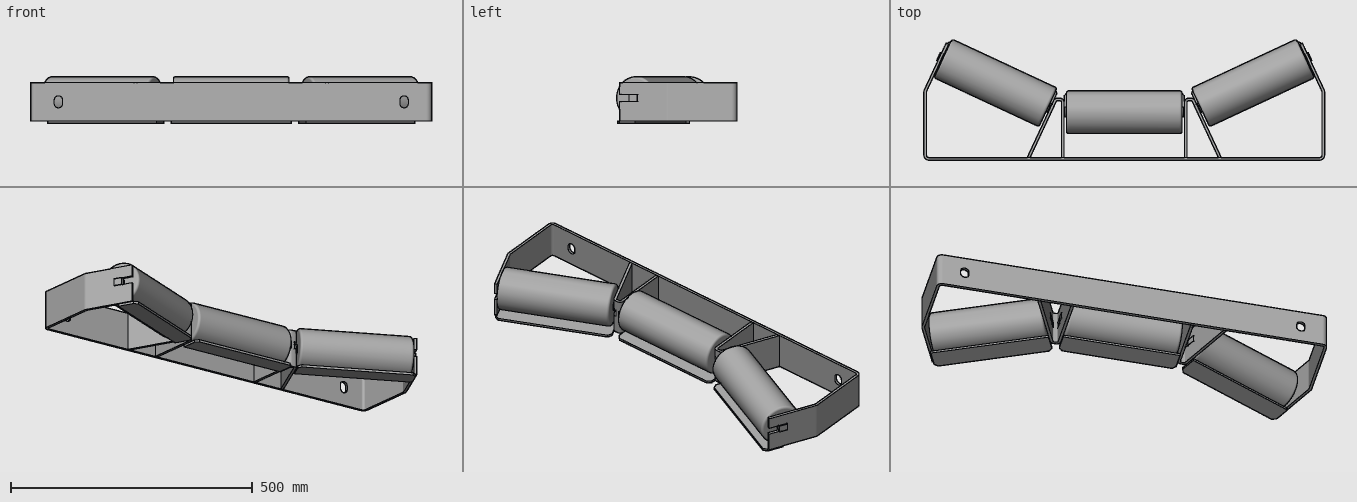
import cadquery as cq
import math

frame_length = 830.0
strip_height = 80.0
strip_thickness = 6.0
frame_bend_radius = 11.0
bracket_bend_radius = 8.0
side_height = 144.0
arm_length = 109.5
bracket_depth = 129.0

hole_spacing = 715.5
hole_width = 17.5
hole_height = 25.0

tilt = 25.0
roller_diameter = 89.0
roller_length = 240.0
roller_rise = 12.5
rim_radius = 5.0
shaft_diameter = 21.0
tongue_width = 18.0
tongue_height = 15.0
shoulder_gap = 2.0
support_gap = 249.0
middle_y = 100.0
outer_x = 266.5
outer_y = 160.0

plate_thickness = 5.0
plate_front = -2.0
plate_rear = 41.5
plate_chamfer = 7.5

roller_radius = roller_diameter / 2
axis_z = strip_height + roller_rise - roller_radius
shaft_length = support_gap + 2 * strip_thickness
tilt_sin = math.sin(math.radians(tilt))
tilt_cos = math.cos(math.radians(tilt))

stations = [(-outer_x, outer_y, -tilt), (0, middle_y, 0), (outer_x, outer_y, tilt)]


def at_station(body, station):
    """Move a body modelled along X at the origin to a roller position."""
    x, y, turn = station
    return body.rotate((0, 0, 0), (0, 0, 1), turn).translate((x, y, 0))


def offset_path(path, distance):
    """Shift an open path to its left by a distance, with mitred corners."""
    headings = [math.atan2(b[1] - a[1], b[0] - a[0]) for a, b in zip(path, path[1:])]
    before = headings[:1] + headings
    after = headings + headings[-1:]
    shifted = []
    for (x, y), first, second in zip(path, before, after):
        normal = (first + second + math.pi) / 2
        reach = distance / math.cos((second - first) / 2)
        shifted.append((x + reach * math.cos(normal), y + reach * math.sin(normal)))
    return shifted


def bent_strip(outside, bend_radius):
    """Upright strip bent leftwards, from the path of the outside of its bends."""
    inside = offset_path(outside, strip_thickness)
    strip = cq.Workplane("XY").polyline(outside + inside[::-1]).close().extrude(strip_height)
    for corners, radius in ((outside, bend_radius), (inside, bend_radius - strip_thickness)):
        for x, y in corners[1:-1]:
            edge = cq.selectors.NearestToPointSelector((x, y, strip_height / 2))
            strip = strip.edges("|Z").edges(edge).fillet(radius)
    return strip


def round_bar(diameter, length):
    """Round bar along X, centred on the origin."""
    return cq.Workplane("YZ", origin=(-length / 2, 0, 0)).circle(diameter / 2).extrude(length)


def shaft_slots(station):
    """Cutter for the two slots that the shaft ends drop into, open towards +Y."""
    slots = cq.Workplane("XY").box(shaft_length, bracket_depth, tongue_height)
    slots = slots.translate((0, (bracket_depth - tongue_width) / 2, axis_z))
    return at_station(slots, station)


def make_frame():
    half = frame_length / 2
    tip_x = half - arm_length * tilt_sin
    tip_y = side_height + arm_length * tilt_cos
    frame = bent_strip([
        (-tip_x, tip_y),
        (-half, side_height),
        (-half, 0),
        (half, 0),
        (half, side_height),
        (tip_x, tip_y),
    ], frame_bend_radius)
    holes = (
        cq.Workplane("XZ", origin=(0, 0, strip_height / 2))
        .pushPoints([(-hole_spacing / 2, 0), (hole_spacing / 2, 0)])
        .slot2D(hole_height, hole_width, 90)
        .extrude(-strip_thickness)
    )
    return frame.cut(holes).cut(shaft_slots(stations[0])).cut(shaft_slots(stations[2]))


def make_bracket(side):
    """Folded bracket between the middle roller and an outer one; side is -1 or 1."""
    leg_x = -support_gap / 2
    face_x = -outer_x + tilt_cos * support_gap / 2
    face_y = outer_y - tilt_sin * support_gap / 2
    slope = tilt_sin / tilt_cos

    def tilted_x(y):
        return face_x + (y - face_y) * slope

    base = strip_thickness
    bracket = bent_strip([
        (leg_x, base),
        (leg_x, bracket_depth),
        (tilted_x(bracket_depth), bracket_depth),
        (tilted_x(0), 0),
    ], bracket_bend_radius)
    trim = cq.Workplane("XY").box(frame_length, 2 * base, 3 * strip_height)
    bracket = bracket.cut(trim).cut(shaft_slots(stations[0])).cut(shaft_slots(stations[1]))
    if side > 0:
        bracket = bracket.mirror("YZ")
    return bracket


def make_roller(station):
    """Roller with rounded rims on a shaft with a rectangular tongue at each end."""
    drum = round_bar(roller_diameter, roller_length).faces("|X").edges().fillet(rim_radius)
    journal = round_bar(shaft_diameter, support_gap - 2 * shoulder_gap)
    tongue_length = strip_thickness + shoulder_gap
    tongue_x = (shaft_length - tongue_length) / 2
    tongues = (
        cq.Workplane("XY")
        .pushPoints([(-tongue_x, 0), (tongue_x, 0)])
        .box(tongue_length, tongue_width, tongue_height)
    )
    roller = drum.union(journal).union(tongues).translate((0, 0, axis_z))
    return at_station(roller, station)


def make_plate(station):
    """Flat plate under a roller, held between the supports, with its two rear corners cut off."""
    width = plate_rear - plate_front
    plate = cq.Workplane("XY").box(support_gap, width, plate_thickness)
    plate = plate.edges("|Z and >Y").chamfer(plate_chamfer)
    plate = plate.translate((0, (plate_front + plate_rear) / 2, -plate_thickness / 2))
    return at_station(plate, station)


frame = make_frame()
brackets = [make_bracket(side) for side in (-1, 1)]
rollers = [make_roller(station) for station in stations]
plates = [make_plate(station) for station in stations]

bodies = [frame, *brackets, *rollers, *plates]
result = cq.Compound.makeCompound([body.val() for body in bodies])